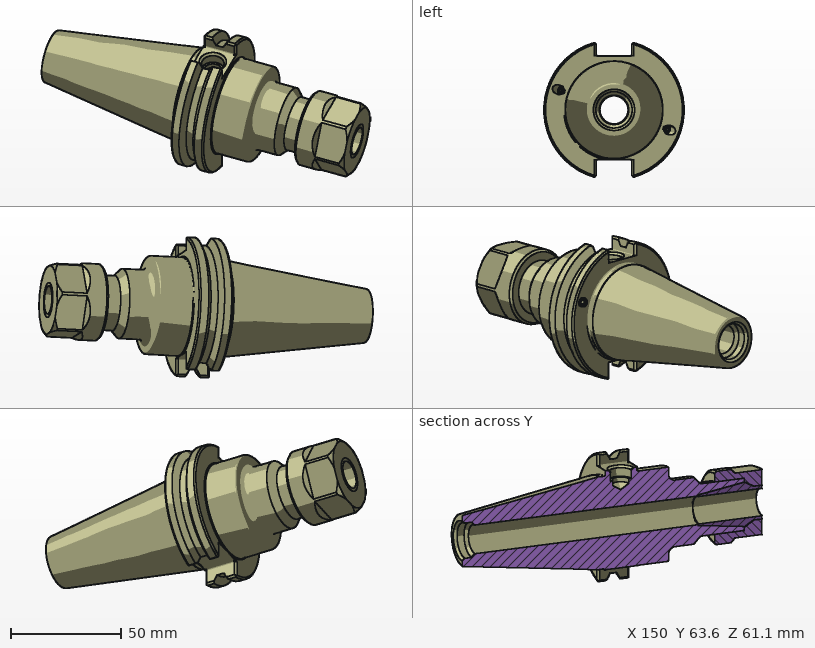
import cadquery as cq
import math


TAPER_RATIO = 7 / 24
GAUGE_X = 68.4
GAUGE_DIA = 44.4
TAIL_DIA = GAUGE_DIA - GAUGE_X * TAPER_RATIO
TAIL_FILLET = 1.2
RELIEF_DIA = 44.1
RELIEF_FILLET = 0.8

FLANGE_X = 71.4
FLANGE_END_X = 87.3
FLANGE_DIA = 63.6
FLANGE_CHAMFER = 0.8
GROOVE_X = 79.2
GROOVE_DIA = 56.4
GROOVE_FLOOR_WIDTH = 3.3
GROOVE_FLANK_ANGLE = 30

SLOT_WIDTH = 16.0
SLOT_EDGE_CHAMFER = 0.9
SLOT_FLOOR_FILLET = 0.6
UPPER_SLOT_Z = 24.5
LOWER_SLOT_Z = 22.5
MARK_SINK_DIA = 12.3
MARK_DIA = 10.2
MARK_TIP_DIA = 8.0
MARK_DEPTH = 5.1
MARK_TIP_DEPTH = 2.3
MARK_TIP_ANGLE = 118

HUB_DIA = 44.9
HUB_END_X = 103.2
HUB_FILLET = 0.8
HUB_ROOT_FILLET = 0.5
STEP_DIA = 31.8
STEP_FILLET = 3.0
STEP_END_X = 115.7
NECK_DIA = 25.0
NOSE_END_X = 141.0

BORE_DIA = 13.4
MOUTH_DIA = 18.8
THREAD_DIA = 16.5
MOUTH_CHAMFER_LENGTH = 1.4
THREAD_LENGTH = 3.5
THREAD_CONE_LENGTH = 1.5

NUT_X = 125.9
NUT_END_X = 149.7
NUT_DIA = 35.0
NUT_REAR_CHAMFER = 1.0
NUT_FRONT_CHAMFER = 1.8
FLAT_COUNT = 6
ACROSS_FLATS = 30.9
FLAT_X = 136.2
TAB_END_X = 150.0
TAB_WIDTH = 2.3
TAB_THICKNESS = 0.3

COLLET_BORE_DIA = 12.8
COLLET_DIA = 20.9
COLLET_TAIL_DIA = 14.4
COLLET_HALF_ANGLE = 8
COLLET_FRONT_HALF_ANGLE = 30
COLLET_FACE_DIA = 15.8

SCREW_DIA = 4.2
SCREW_ANGLES = (20, 200)
SCREW_RADIUS = 26.9
SCREW_TILT = 40
SCREW_SINK = 1.8
SCREW_LENGTH = 3.8
SCREW_CHAMFER = 0.5
SOCKET_SIDES = 6
SOCKET_ACROSS_CORNERS = 2.0
SOCKET_DEPTH = 1.5


def tan_deg(angle):
    return math.tan(math.radians(angle))


def turned(profile):
    """Revolve a list of (x, diameter) points about the X axis."""
    points = [(x, dia / 2) for x, dia in profile]
    return cq.Workplane("XY").polyline(points).close().revolve(360, (0, 0, 0), (1, 0, 0))


collet_cone_length = (COLLET_DIA - COLLET_TAIL_DIA) / 2 / tan_deg(COLLET_HALF_ANGLE)
collet_tail_x = NOSE_END_X - collet_cone_length
collet_front_length = (COLLET_DIA - COLLET_FACE_DIA) / 2 / tan_deg(COLLET_FRONT_HALF_ANGLE)
collet_front_x = NOSE_END_X + collet_front_length


def collet_envelope():
    return turned([
        (collet_tail_x, 0),
        (collet_tail_x, COLLET_TAIL_DIA),
        (NOSE_END_X, COLLET_DIA),
        (collet_front_x, COLLET_FACE_DIA),
        (NUT_END_X, COLLET_FACE_DIA),
        (NUT_END_X, 0),
    ])


def cylinder_x(dia, start, end):
    return turned([(start, 0), (start, dia), (end, dia), (end, 0)])


def root_fillet(dia, x, radius, side):
    """Ring that rounds the corner between a cylinder and a larger face at x, on one side of that face."""
    profile = cq.Workplane("XY").moveTo(x, dia / 2)
    profile = profile.lineTo(x, dia / 2 + radius)
    profile = profile.radiusArc((x + side * radius, dia / 2), -side * radius)
    return profile.close().revolve(360, (0, 0, 0), (1, 0, 0))


def shank():
    taper = turned([
        (0, 0),
        (0, TAIL_DIA),
        (GAUGE_X, GAUGE_DIA),
        (GAUGE_X, 0),
    ])
    taper = taper.faces("<X").edges().fillet(TAIL_FILLET)
    relief = cylinder_x(RELIEF_DIA, GAUGE_X, FLANGE_X)
    return taper.union(relief)


def flange():
    floor_half = GROOVE_FLOOR_WIDTH / 2
    rim_half = floor_half + (FLANGE_DIA - GROOVE_DIA) / 2 * tan_deg(GROOVE_FLANK_ANGLE)
    face_dia = FLANGE_DIA - 2 * FLANGE_CHAMFER
    body = turned([
        (FLANGE_X, 0),
        (FLANGE_X, face_dia),
        (FLANGE_X + FLANGE_CHAMFER, FLANGE_DIA),
        (GROOVE_X - rim_half, FLANGE_DIA),
        (GROOVE_X - floor_half, GROOVE_DIA),
        (GROOVE_X + floor_half, GROOVE_DIA),
        (GROOVE_X + rim_half, FLANGE_DIA),
        (FLANGE_END_X - FLANGE_CHAMFER, FLANGE_DIA),
        (FLANGE_END_X, face_dia),
        (FLANGE_END_X, 0),
    ])
    body = body.union(root_fillet(RELIEF_DIA, FLANGE_X, RELIEF_FILLET, -1))
    body = body.union(root_fillet(HUB_DIA, FLANGE_END_X, HUB_ROOT_FILLET, 1))
    return body.cut(drive_slot(UPPER_SLOT_Z, 0)).cut(drive_slot(LOWER_SLOT_Z, 180))


def drive_slot(floor_z, turn):
    """Cutter for a slot across the flange, flared where its walls meet the flange faces and the rim."""
    length = FLANGE_END_X - FLANGE_X
    half = SLOT_WIDTH / 2
    flare = half + SLOT_EDGE_CHAMFER
    middle_x = (FLANGE_X + FLANGE_END_X) / 2
    rim_z = math.sqrt((FLANGE_DIA / 2) ** 2 - flare**2)
    top_z = FLANGE_DIA / 2 + SLOT_EDGE_CHAMFER

    channel_length = length + 2 * RELIEF_FILLET
    channel = cq.Workplane("XY").box(channel_length, SLOT_WIDTH, top_z - floor_z)
    channel = channel.translate((middle_x, 0, (floor_z + top_z) / 2))
    channel = channel.edges("|X and <Z").fillet(SLOT_FLOOR_FILLET)

    mouth = [
        (-half, rim_z - SLOT_EDGE_CHAMFER),
        (-flare, rim_z),
        (-flare, top_z),
        (flare, top_z),
        (flare, rim_z),
        (half, rim_z - SLOT_EDGE_CHAMFER),
    ]
    rim_flare = cq.Workplane("YZ").workplane(offset=FLANGE_X).polyline(mouth).close().extrude(length)
    cutter = channel.union(rim_flare)

    for face_x, inward in ((FLANGE_X, 1), (FLANGE_END_X, -1)):
        plan = [
            (face_x, -flare),
            (face_x, flare),
            (face_x + inward * SLOT_EDGE_CHAMFER, half),
            (face_x + inward * SLOT_EDGE_CHAMFER, -half),
        ]
        face_flare = cq.Workplane("XY").workplane(offset=floor_z).polyline(plan).close()
        cutter = cutter.union(face_flare.extrude(top_z - floor_z))
    return cutter.rotate((0, 0, 0), (1, 0, 0), turn)


def nose():
    neck_x = STEP_END_X + (STEP_DIA - NECK_DIA) / 2
    hub = cylinder_x(HUB_DIA, FLANGE_END_X, HUB_END_X).faces(">X").edges().fillet(HUB_FILLET)
    steps = turned([
        (HUB_END_X, 0),
        (HUB_END_X, STEP_DIA),
        (STEP_END_X, STEP_DIA),
        (neck_x, NECK_DIA),
        (NOSE_END_X, NECK_DIA),
        (NOSE_END_X, 0),
    ])
    return hub.union(steps).union(root_fillet(STEP_DIA, HUB_END_X, STEP_FILLET, 1))


def bore():
    thread_end_x = MOUTH_CHAMFER_LENGTH + THREAD_LENGTH
    return turned([
        (0, 0),
        (0, MOUTH_DIA),
        (MOUTH_CHAMFER_LENGTH, THREAD_DIA),
        (thread_end_x, THREAD_DIA),
        (thread_end_x + THREAD_CONE_LENGTH, BORE_DIA),
        (collet_tail_x, BORE_DIA),
        (collet_tail_x, 0),
    ])


def marking_hole():
    """Countersunk blind hole in the floor of the upper drive slot, with a drilled centre."""
    sink = (MARK_SINK_DIA - MARK_DIA) / 2
    tip = MARK_TIP_DIA / 2 / tan_deg(MARK_TIP_ANGLE / 2)
    tip_z = UPPER_SLOT_Z - MARK_DEPTH - MARK_TIP_DEPTH
    profile = [
        (0, UPPER_SLOT_Z),
        (MARK_SINK_DIA / 2, UPPER_SLOT_Z),
        (MARK_DIA / 2, UPPER_SLOT_Z - sink),
        (MARK_DIA / 2, UPPER_SLOT_Z - MARK_DEPTH),
        (MARK_TIP_DIA / 2, UPPER_SLOT_Z - MARK_DEPTH),
        (MARK_TIP_DIA / 2, tip_z),
        (0, tip_z - tip),
    ]
    cutter = cq.Workplane("XZ").polyline(profile).close().revolve(360, (0, 0, 0), (0, 1, 0))
    return cutter.translate((GROOVE_X, 0, 0))


def screw_plane(angle):
    """Plane on the flange face whose normal points out of a screw hole, leaning away from the axis."""
    y_dir = math.cos(math.radians(angle))
    z_dir = math.sin(math.radians(angle))
    lean = math.radians(SCREW_TILT)
    return cq.Plane(
        origin=(FLANGE_X, SCREW_RADIUS * y_dir, SCREW_RADIUS * z_dir),
        xDir=(0, -z_dir, y_dir),
        normal=(-math.cos(lean), math.sin(lean) * y_dir, math.sin(lean) * z_dir),
    )


def screw_hole(angle):
    depth = SCREW_SINK + SCREW_LENGTH
    clearance = SCREW_DIA
    hole = cq.Workplane(screw_plane(angle)).workplane(offset=-depth).circle(SCREW_DIA / 2)
    return hole.extrude(depth + clearance)


def coolant_screw(angle):
    seat = cq.Workplane(screw_plane(angle)).workplane(offset=-SCREW_SINK)
    screw = seat.circle(SCREW_DIA / 2).extrude(-SCREW_LENGTH)
    outward = seat.plane.zDir
    screw = screw.faces(cq.selectors.DirectionMinMaxSelector(outward)).chamfer(SCREW_CHAMFER)
    return screw.cut(seat.polygon(SOCKET_SIDES, SOCKET_ACROSS_CORNERS).extrude(-SOCKET_DEPTH))


def holder():
    body = shank().union(flange()).union(nose())
    body = body.cut(bore()).cut(collet_envelope()).cut(marking_hole())
    for angle in SCREW_ANGLES:
        body = body.cut(screw_hole(angle))
    return body


def flat_cutter(index):
    """Cutter for the material outside one wrench flat, ending in a 45 degree run-out."""
    apothem = ACROSS_FLATS / 2
    rise = NUT_DIA - apothem
    side = [
        (FLAT_X, apothem),
        (NUT_END_X, apothem),
        (NUT_END_X, NUT_DIA),
        (FLAT_X - rise, NUT_DIA),
    ]
    cutter = cq.Workplane("XZ").polyline(side).close().extrude(NUT_DIA / 2, both=True)
    return cutter.rotate((0, 0, 0), (1, 0, 0), index * 360 / FLAT_COUNT)


def index_tab():
    """Small raised tab at the edge of the nut's front face, on its +Y corner."""
    outer_y = NUT_DIA / 2 - NUT_FRONT_CHAMFER
    tab = cq.Workplane("XY").box(TAB_END_X - NUT_X, TAB_THICKNESS, TAB_WIDTH, centered=(False, False, True))
    return tab.translate((NUT_X, outer_y - TAB_THICKNESS, 0))


def nut():
    body = turned([
        (NUT_X, 0),
        (NUT_X, NUT_DIA - 2 * NUT_REAR_CHAMFER),
        (NUT_X + NUT_REAR_CHAMFER, NUT_DIA),
        (NUT_END_X - NUT_FRONT_CHAMFER, NUT_DIA),
        (NUT_END_X, NUT_DIA - 2 * NUT_FRONT_CHAMFER),
        (NUT_END_X, 0),
    ])
    for index in range(FLAT_COUNT):
        body = body.cut(flat_cutter(index))
    body = body.union(index_tab())
    return body.cut(cylinder_x(NECK_DIA, NUT_X, NOSE_END_X)).cut(collet_envelope())


def collet():
    return collet_envelope().cut(cylinder_x(COLLET_BORE_DIA, collet_tail_x, NUT_END_X))


screws = [coolant_screw(angle) for angle in SCREW_ANGLES]
result = cq.Compound.makeCompound(
    [holder().val(), nut().val(), collet().val(), *[screw.val() for screw in screws]]
)